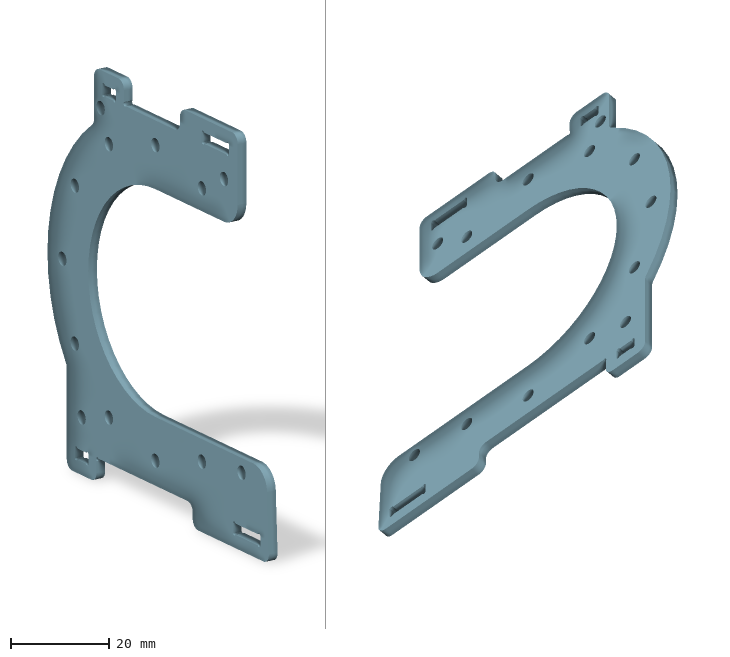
import cadquery as cq
import math

thickness = 2.1
height = 89.2
top = height / 2
notch_depth = 5.3
notch_edge = top - notch_depth

ring_outer_radius = 39.4
opening_radius = 24.5

tab_width = 10.9
upper_tab_left = -22.4
lower_tab_left = -32.4
upper_step = 9.0
upper_right = 30.1
lower_step = 13.65
lower_right = 41.6
lower_right_inner = 40.6

corner_radius = 2.0
arm_corner_radius = 5.0

hole_diameter = 3.0
bolt_circle_radius = 34.0
bolt_pitch_angle = 30
first_bolt_angle = 60
last_bolt_angle = 300
extra_holes = [(-20.0, 36.4), (25.1, 33.7), (31.5, -27.7), (-26.9, -32.2)]

slot_height = 2.4
slot_level = 40.5
short_slot_length = 5.0
long_slot_length = 10.0
upper_long_slot_x = 21.9
lower_long_slot_x = 33.4
relief_radius = 0.5
slot_relief_overrun = 0.3


def on_ring(x):
    """Height above the centre at which the ring's outer circle crosses x."""
    return math.sqrt(ring_outer_radius**2 - x**2)


def round_corners(body, radius, corners):
    """Round the through-thickness edges at the given (x, z) corners."""
    for x, z in corners:
        edge = cq.selectors.NearestToPointSelector((x, 0, z))
        body = body.edges("|Y").edges(edge).fillet(radius)
    return body


def make_plate():
    upper_tab_right = upper_tab_left + tab_width
    lower_tab_right = lower_tab_left + tab_width
    upper_joint = (upper_tab_left, on_ring(upper_tab_left))
    lower_joint = (lower_tab_left, -on_ring(lower_tab_left))
    plate = (
        cq.Workplane("XZ")
        .moveTo(*upper_joint)
        .lineTo(upper_tab_left, top)
        .lineTo(upper_tab_right, top)
        .lineTo(upper_tab_right, notch_edge)
        .lineTo(upper_step, notch_edge)
        .lineTo(upper_step, top)
        .lineTo(upper_right, top)
        .lineTo(upper_right, opening_radius)
        .lineTo(0, opening_radius)
        .threePointArc((-opening_radius, 0), (0, -opening_radius))
        .lineTo(lower_right_inner, -opening_radius)
        .lineTo(lower_right, -top)
        .lineTo(lower_step, -top)
        .lineTo(lower_step, -notch_edge)
        .lineTo(lower_tab_right, -notch_edge)
        .lineTo(lower_tab_right, -top)
        .lineTo(lower_tab_left, -top)
        .lineTo(*lower_joint)
        .threePointArc((-ring_outer_radius, 0), upper_joint)
        .close()
        .extrude(thickness / 2, both=True)
    )
    small_corners = [
        (upper_tab_left, top),
        (upper_tab_right, top),
        (upper_step, notch_edge),
        (upper_step, top),
        (upper_right, top),
        (lower_right, -top),
        (lower_step, -top),
        (lower_step, -notch_edge),
        (lower_tab_right, -top),
        (lower_tab_left, -top),
        upper_joint,
        lower_joint,
    ]
    arm_corners = [(upper_right, opening_radius), (lower_right_inner, -opening_radius)]
    plate = round_corners(plate, corner_radius, small_corners)
    return round_corners(plate, arm_corner_radius, arm_corners)


def make_holes():
    bolt_angles = range(first_bolt_angle, last_bolt_angle + 1, bolt_pitch_angle)
    bolt_holes = [
        (
            bolt_circle_radius * math.cos(math.radians(angle)),
            bolt_circle_radius * math.sin(math.radians(angle)),
        )
        for angle in bolt_angles
    ]
    return (
        cq.Workplane("XZ")
        .pushPoints(bolt_holes + extra_holes)
        .circle(hole_diameter / 2)
        .extrude(thickness, both=True)
    )


def make_reliefs(centres):
    return cq.Workplane("XZ").pushPoints(centres).circle(relief_radius).extrude(thickness, both=True)


def make_slot(x, z, length):
    """Rectangular tab slot whose round corner reliefs touch the ends and overrun the long sides."""
    slot = cq.Workplane("XY").box(length, 2 * thickness, slot_height).translate((x, 0, z))
    reach_x = length / 2 - relief_radius
    reach_z = slot_height / 2 + slot_relief_overrun - relief_radius
    corners = [(x + i * reach_x, z + k * reach_z) for i in (-1, 1) for k in (-1, 1)]
    return slot.union(make_reliefs(corners))


slots = [
    (upper_tab_left + tab_width / 2, slot_level, short_slot_length),
    (upper_long_slot_x, slot_level, long_slot_length),
    (lower_tab_left + tab_width / 2, -slot_level, short_slot_length),
    (lower_long_slot_x, -slot_level, long_slot_length),
]

relief_offset = relief_radius / math.sqrt(2)
notch_reliefs = [
    (upper_tab_left + tab_width + relief_offset, notch_edge + relief_offset),
    (lower_tab_left + tab_width + relief_offset, -notch_edge - relief_offset),
]

result = make_plate().cut(make_holes()).cut(make_reliefs(notch_reliefs))
for slot_x, slot_z, slot_length in slots:
    result = result.cut(make_slot(slot_x, slot_z, slot_length))